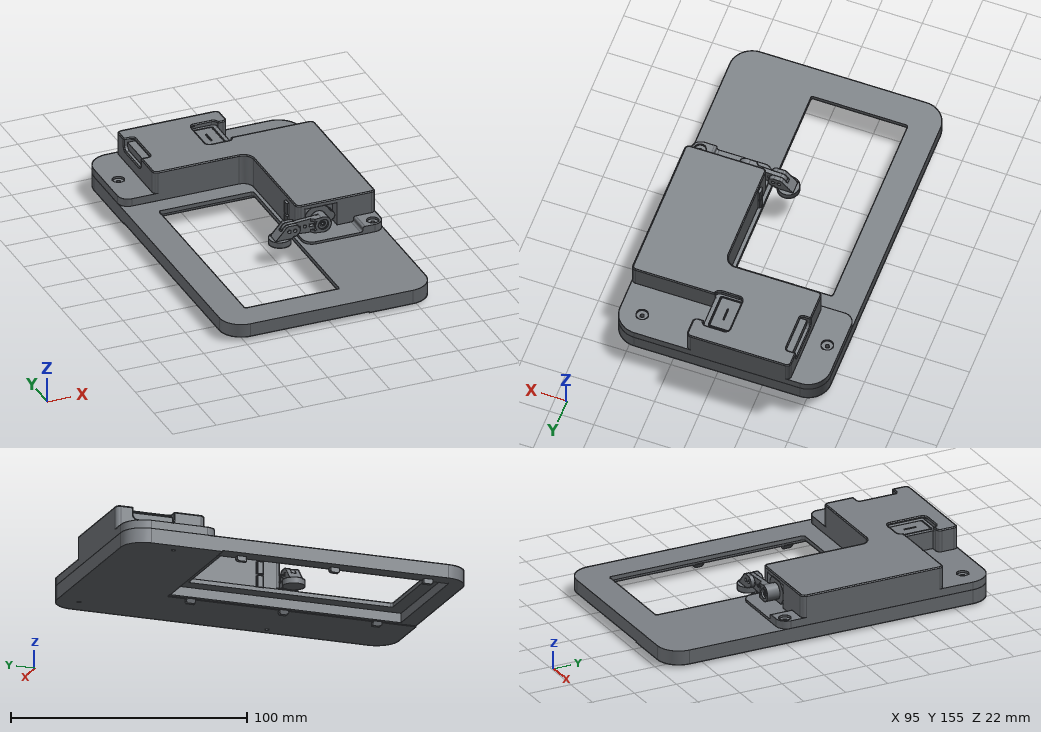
import cadquery as cq

LENGTH = 155.0
WIDTH = 95.0
PLATE_HEIGHT = 6.5
FLANGE_TOP = 10.0
SILL_TOP = 7.6
HOUSING_TOP = 20.3
HOOK_DROP = 1.7

CORNER_RADIUS = 10.0
FLANGE_RADIUS = 4.6
WALL_RADIUS = 2.0
TOP_CHAMFER = 0.5
TOLERANCE = 0.2

WINDOW_X = (13.3, 56.9)
WINDOW_Y = (13.6, 106.3)
WINDOW_RADIUS = 1.0
POCKET_MARGIN = 6.2
SKIN = 1.9
RELIEF_DEPTH = 0.5
RELIEF_X = 64.8
HOOK_WIDTH = 4.0
HOOK_FOOT = 1.5
HOOK_REACH = 2.6
HOOK_OUTSET = 9.3
HOOK_CHAMFER = 0.6

HOUSING_LEFT = 14.7
HOUSING_FRONT = 63.7
INNER_X = 58.6
INNER_Y = 114.9
EAR_X = 61.5
EAR_Y = 145.2
NOTCH_X = 56.9
SHOULDER_Y = 131.1
FLANGE_FRONT = 53.6
PAD_X = 84.8
PAD_FILLET = 1.0

SCREW_PLACES = [(85.0, 145.1), (6.0, 132.7), (91.0, 57.5)]
SCREW_BORE = 1.7
SCREW_HEAD = 5.3
SCREW_HEAD_DEPTH = 1.0

OPENING_Y = (129.0, 147.4)
OPENING_RADIUS = 2.0
RECESS_FLOOR = 18.3
RECESS_X = (45.3, 57.2)
PANEL_RIGHT = 54.5
PANEL_Y = (130.4, 145.5)
PANEL_GAP = 0.5
PANEL_DEPTH = 1.0
PANEL_SLIT_PLACE = (49.9, 138.0)
PANEL_SLIT_WIDTH = 0.5
PANEL_SLIT_LENGTH = 5.6
GRIP_RIGHT = 19.4
GRIP_LEDGE_X = 16.6
GRIP_FLOOR = 15.0
GRIP_CORNER = 1.2
CHANNEL_TOP = 19.4

CLIP_Y = (71.8, 74.9)
CLIP_REACH = 1.2
CLIP_CHAMFER = 0.5
CLIP_HEIGHT = 5.3
CLIP_BOTTOMS = (PLATE_HEIGHT, 12.7)

AXIS_X = 68.8
AXIS_Z = 12.1
BAY_X = (62.5, 77.2)
BAY_TOP = 18.3
BAY_BACK = 85.2
SERVO_GAP = 0.6
SERVO_FACE = 68.5
BOSS_FACE = 64.6
BOSS_RADIUS = 6.4
GEAR_X = 74.2
GEAR_DIAMETER = 4.6
SHAFT_DIAMETER = 2.5
SHAFT_HOLE = 1.2
SHAFT_HOLE_DEPTH = 2.3

HUB_DIAMETER = 7.3
HUB_FRONT = 58.7
HUB_RECESS = 4.6
HUB_RECESS_DEPTH = 1.0
ARM_Y = (60.1, 62.2)
ARM_TIP_X = 53.0
ARM_TIP_RADIUS = 2.5
ARM_ROOT_HALF = 3.5
HORN_HOLE = 1.3
HORN_PITCH = 2.6
HORN_HOLES = 4
HORN_SLOT_X = (63.0, 65.4)
HORN_SLOT_HALF = 0.55
RIB_START = 63.5
RIB_CHANNEL_HALF = 2.0

FINGER_Y = (58.3, 64.2)
FINGER_END_X = 55.3
FINGER_END_RADIUS = 2.6
FINGER_TOP_X = 52.1
FINGER_TOP_FILLET = 1.5
FINGER_TOE_X = 46.7
FINGER_HEEL_X = 54.1
FINGER_HOLE = 1.5
FINGER_HOLES = 2
PAD_DISC_X = 49.8
PAD_DISC_RADIUS = 4.8
PAD_DISC_TOP = 8.7
PAD_DISC_BOTTOM = 6.0


def block(x, y, z):
    """Box between pairs of X, Y and Z limits."""
    return (
        cq.Workplane("XY")
        .box(x[1] - x[0], y[1] - y[0], z[1] - z[0], centered=False)
        .translate((x[0], y[0], z[0]))
    )


def rod(x, z, diameter, y):
    """Cylinder along Y between two Y limits."""
    return (
        cq.Workplane("XZ", origin=(x, y[1], z))
        .circle(diameter / 2)
        .extrude(y[1] - y[0])
    )


def side_profile(corners, y):
    """Polygon in X and Z, extruded between two Y limits."""
    return cq.Workplane("XZ", origin=(0, y[1], 0)).polyline(corners).close().extrude(y[1] - y[0])


def rounded_at(body, radius, *places):
    """Round the upright edges that stand at the given X, Y places."""
    for x, y in places:
        low = (x - TOLERANCE, y - TOLERANCE, -LENGTH)
        high = (x + TOLERANCE, y + TOLERANCE, LENGTH)
        corner = cq.selectors.BoxSelector(low, high, True)
        body = body.edges("|Z").edges(corner).fillet(radius)
    return body


def drill(body, diameter, z):
    """Bore every mounting screw place between two Z limits."""
    bores = (
        cq.Workplane("XY", origin=(0, 0, z[0]))
        .pushPoints(SCREW_PLACES)
        .circle(diameter / 2)
        .extrude(z[1] - z[0])
    )
    return body.cut(bores)


def make_hook(x_outer, inward, y, chamfered_sides):
    """Hook below the plate; its inner side slopes up to the step of the underside."""
    points = [
        (x_outer, RELIEF_DEPTH),
        (x_outer, -HOOK_DROP),
        (x_outer + inward * HOOK_FOOT, -HOOK_DROP),
        (x_outer + inward * HOOK_REACH, 0),
        (x_outer + inward * HOOK_REACH, RELIEF_DEPTH),
    ]
    hook = side_profile(points, (y - HOOK_WIDTH / 2, y + HOOK_WIDTH / 2))
    for side in chamfered_sides:
        hook = hook.faces("<Z").edges(side).chamfer(HOOK_CHAMFER)
    return hook


def make_plate():
    plate = block((0, WIDTH), (0, LENGTH), (0, PLATE_HEIGHT)).edges("|Z").fillet(CORNER_RADIUS)
    window = block(WINDOW_X, WINDOW_Y, (0, PLATE_HEIGHT)).edges("|Z").fillet(WINDOW_RADIUS)
    pocket_x = (WINDOW_X[0] - POCKET_MARGIN, WINDOW_X[1] + POCKET_MARGIN)
    pocket_y = (WINDOW_Y[0] - POCKET_MARGIN, WINDOW_Y[1] + POCKET_MARGIN)
    pocket = block(pocket_x, pocket_y, (0, PLATE_HEIGHT - SKIN))
    relief = block((0, RELIEF_X), (0, pocket_y[1]), (0, RELIEF_DEPTH))
    plate = plate.cut(window).cut(pocket).cut(relief)

    middle_y = sum(WINDOW_Y) / 2
    hook_spread = (WINDOW_Y[1] - WINDOW_Y[0]) / 2 - HOOK_WIDTH
    hook_rows = [
        (middle_y - hook_spread, ("<Y",)),
        (middle_y, ("<Y", ">Y")),
        (middle_y + hook_spread, (">Y",)),
    ]
    for y, chamfered_sides in hook_rows:
        plate = plate.union(make_hook(WINDOW_X[0] - HOOK_OUTSET, 1, y, chamfered_sides))
        plate = plate.union(make_hook(WINDOW_X[1] + HOOK_OUTSET, -1, y, chamfered_sides))
    return drill(plate, SCREW_BORE, (0, PLATE_HEIGHT))


def make_flange():
    """Thick flange at the back, and the thin sill with its screw pad at the front."""
    back = block((0, WIDTH), (INNER_Y, LENGTH), (PLATE_HEIGHT, FLANGE_TOP))
    back = rounded_at(back, CORNER_RADIUS, (0, LENGTH), (WIDTH, LENGTH))
    back = rounded_at(back, FLANGE_RADIUS, (0, INNER_Y))

    step = [
        (INNER_X, PLATE_HEIGHT),
        (WIDTH, PLATE_HEIGHT),
        (WIDTH, FLANGE_TOP),
        (PAD_X, FLANGE_TOP),
        (PAD_X, SILL_TOP),
        (INNER_X, SILL_TOP),
    ]
    front = side_profile(step, (FLANGE_FRONT, HOUSING_FRONT + WALL_RADIUS))
    front = rounded_at(front, FLANGE_RADIUS, (INNER_X, FLANGE_FRONT), (WIDTH, FLANGE_FRONT))
    low = (PAD_X - TOLERANCE, 0, SILL_TOP - TOLERANCE)
    high = (PAD_X + TOLERANCE, LENGTH, FLANGE_TOP + TOLERANCE)
    front = front.edges("|Y").edges(cq.selectors.BoxSelector(low, high)).fillet(PAD_FILLET)
    return back, front


def make_shell():
    """L-shaped housing block with rounded corners and a chamfered top edge."""
    outer = [
        (HOUSING_LEFT, LENGTH),
        (EAR_X, LENGTH),
        (EAR_X, EAR_Y),
        (NOTCH_X, EAR_Y),
        (NOTCH_X, SHOULDER_Y),
        (WIDTH, SHOULDER_Y),
        (WIDTH, HOUSING_FRONT),
        (INNER_X, HOUSING_FRONT),
        (INNER_X, INNER_Y),
        (HOUSING_LEFT, INNER_Y),
    ]
    shell = (
        cq.Workplane("XY", origin=(0, 0, PLATE_HEIGHT))
        .polyline(outer)
        .close()
        .extrude(HOUSING_TOP - PLATE_HEIGHT)
    )
    inside_corners = [(NOTCH_X, EAR_Y), (NOTCH_X, SHOULDER_Y), (INNER_X, INNER_Y)]
    outside_corners = [corner for corner in outer if corner not in inside_corners]
    shell = rounded_at(shell, WALL_RADIUS, *outside_corners)
    shell = rounded_at(shell, FLANGE_RADIUS, (INNER_X, INNER_Y))
    return shell.faces(">Z").edges().chamfer(TOP_CHAMFER)


def flared_rim(opening, *mouth_sides):
    """Opening widened at its mouths, so that it cuts chamfered rims."""
    flared = opening
    for side in mouth_sides:
        face = opening.faces(side)
        flare = face.workplane().add(face.wires().vals()).toPending()
        flare = flare.extrude(TOP_CHAMFER, taper=-45, combine=False)
        inward = face.val().normalAt() * -TOP_CHAMFER
        flared = flared.union(flare.translate(inward))
    return flared


def cut_top_openings(shell):
    """Panel recess and grip notch with chamfered rims, and the channel that joins them."""
    recess = block(RECESS_X, OPENING_Y, (RECESS_FLOOR, HOUSING_TOP)).edges("|Z").fillet(OPENING_RADIUS)

    grip = block((HOUSING_LEFT, GRIP_RIGHT), OPENING_Y, (GRIP_FLOOR, HOUSING_TOP))
    grip = grip.edges("|X and <Z").fillet(OPENING_RADIUS)
    grip = grip.edges("|Z and >X").fillet(GRIP_CORNER)
    ledge = block((GRIP_LEDGE_X, GRIP_RIGHT), OPENING_Y, (GRIP_FLOOR, RECESS_FLOOR))

    channel = block((GRIP_LEDGE_X, RECESS_X[0] + OPENING_RADIUS), OPENING_Y, (RECESS_FLOOR, CHANNEL_TOP))
    panel_bed = make_panel_shape(PANEL_GAP)
    shell = shell.cut(flared_rim(recess, ">Z")).cut(flared_rim(grip, ">Z", "<X").cut(ledge))
    return shell.cut(channel).cut(panel_bed)


def make_clips():
    """Two blocks, one above the other, with chamfered upright edges."""
    clips = []
    for bottom in CLIP_BOTTOMS:
        clip = block((INNER_X - CLIP_REACH, INNER_X), CLIP_Y, (bottom, bottom + CLIP_HEIGHT))
        clips.append(clip.edges("|Z and <X").chamfer(CLIP_CHAMFER))
    return clips


def make_housing():
    housing = cut_top_openings(make_shell())
    for part in (*make_flange(), *make_clips()):
        housing = housing.union(part)
    housing = housing.cut(block(BAY_X, (HOUSING_FRONT, BAY_BACK), (SILL_TOP, BAY_TOP)))
    housing = drill(housing, SCREW_BORE, (PLATE_HEIGHT, FLANGE_TOP))
    return drill(housing, SCREW_HEAD, (FLANGE_TOP - SCREW_HEAD_DEPTH, FLANGE_TOP))


def make_panel_shape(growth):
    """Panel block, flush with the recess floor and grown sideways by a gap."""
    x = (RECESS_X[0], PANEL_RIGHT + growth)
    y = (PANEL_Y[0] - growth, PANEL_Y[1] + growth)
    z = (RECESS_FLOOR - PANEL_DEPTH, RECESS_FLOOR)
    return block(x, y, z).edges("|Z and >X").fillet(OPENING_RADIUS / 2)


def make_panel():
    panel = make_panel_shape(0)
    slit = cq.Workplane("XY", origin=(*PANEL_SLIT_PLACE, RECESS_FLOOR))
    slit = slit.rect(PANEL_SLIT_WIDTH, PANEL_SLIT_LENGTH).extrude(-PANEL_DEPTH / 2)
    return panel.cut(slit)


def make_servo():
    x = (BAY_X[0] + SERVO_GAP, BAY_X[1])
    z = (SILL_TOP, BAY_TOP - SERVO_GAP)
    case = block(x, (SERVO_FACE, BAY_BACK), z)
    boss = rod(AXIS_X, AXIS_Z, 2 * BOSS_RADIUS, (BOSS_FACE, SERVO_FACE))
    boss = boss.union(rod(GEAR_X, AXIS_Z, GEAR_DIAMETER, (BOSS_FACE, SERVO_FACE)))
    boss = boss.intersect(block(x, (BOSS_FACE, SERVO_FACE), z))
    shaft_front = HUB_FRONT + HUB_RECESS_DEPTH
    shaft = rod(AXIS_X, AXIS_Z, SHAFT_DIAMETER, (shaft_front, SERVO_FACE))
    hole = rod(AXIS_X, AXIS_Z, SHAFT_HOLE, (shaft_front, shaft_front + SHAFT_HOLE_DEPTH))
    return case.union(boss).union(shaft).cut(hole)


def make_arm_blank(y):
    """Arm outline with a round tip, widening towards the hub, between two Y limits."""
    return (
        cq.Workplane("XZ", origin=(0, y[1], 0))
        .moveTo(AXIS_X, AXIS_Z + ARM_ROOT_HALF)
        .lineTo(ARM_TIP_X, AXIS_Z + ARM_TIP_RADIUS)
        .threePointArc((ARM_TIP_X - ARM_TIP_RADIUS, AXIS_Z), (ARM_TIP_X, AXIS_Z - ARM_TIP_RADIUS))
        .lineTo(AXIS_X, AXIS_Z - ARM_ROOT_HALF)
        .close()
        .extrude(y[1] - y[0])
    )


def make_ribs():
    """Pair of ribs that thicken the arm next to the hub, with sloped ends."""
    rise = ARM_Y[0] - HUB_FRONT
    outline = [
        (RIB_START, ARM_Y[0]),
        (RIB_START + rise, HUB_FRONT),
        (AXIS_X, HUB_FRONT),
        (AXIS_X, ARM_Y[0]),
    ]
    wedge = cq.Workplane("XY").polyline(outline).close().extrude(HOUSING_TOP)
    ribs = wedge.intersect(make_arm_blank((HUB_FRONT, ARM_Y[0])))
    channel_z = (AXIS_Z - RIB_CHANNEL_HALF, AXIS_Z + RIB_CHANNEL_HALF)
    return ribs.cut(block((RIB_START, AXIS_X), (HUB_FRONT, ARM_Y[0]), channel_z))


def make_horn():
    horn = make_arm_blank(ARM_Y).union(make_ribs())
    horn = horn.union(rod(AXIS_X, AXIS_Z, HUB_DIAMETER, (HUB_FRONT, BOSS_FACE)))
    horn = horn.cut(rod(AXIS_X, AXIS_Z, SHAFT_DIAMETER, (HUB_FRONT, BOSS_FACE)))
    horn = horn.cut(rod(AXIS_X, AXIS_Z, HUB_RECESS, (HUB_FRONT, HUB_FRONT + HUB_RECESS_DEPTH)))
    for i in range(HORN_HOLES):
        horn = horn.cut(rod(ARM_TIP_X + i * HORN_PITCH, AXIS_Z, HORN_HOLE, ARM_Y))
    slot = block(HORN_SLOT_X, ARM_Y, (AXIS_Z - HORN_SLOT_HALF, AXIS_Z + HORN_SLOT_HALF))
    return horn.cut(slot)


def make_finger():
    top = AXIS_Z + FINGER_END_RADIUS
    bottom = AXIS_Z - FINGER_END_RADIUS
    finger = (
        cq.Workplane("XZ", origin=(0, FINGER_Y[1], 0))
        .moveTo(FINGER_TOE_X, PAD_DISC_TOP)
        .lineTo(FINGER_TOP_X, top)
        .lineTo(FINGER_END_X, top)
        .threePointArc((FINGER_END_X + FINGER_END_RADIUS, AXIS_Z), (FINGER_END_X, bottom))
        .lineTo(FINGER_HEEL_X, PAD_DISC_TOP)
        .close()
        .extrude(FINGER_Y[1] - FINGER_Y[0])
    )
    finger = finger.faces(">Z").edges("<X").fillet(FINGER_TOP_FILLET)
    disc = (
        cq.Workplane("XY", origin=(PAD_DISC_X, sum(FINGER_Y) / 2, PAD_DISC_BOTTOM))
        .circle(PAD_DISC_RADIUS)
        .extrude(PAD_DISC_TOP - PAD_DISC_BOTTOM)
    )
    slot_above = block((FINGER_TOE_X, AXIS_X), ARM_Y, (AXIS_Z, HOUSING_TOP))
    finger = finger.union(disc).cut(make_arm_blank(ARM_Y)).cut(slot_above)
    for i in range(FINGER_HOLES):
        finger = finger.cut(rod(ARM_TIP_X + i * HORN_PITCH, AXIS_Z, FINGER_HOLE, FINGER_Y))
    return finger


plate = make_plate()
housing = make_housing()
panel = make_panel()
servo = make_servo()
horn = make_horn()
finger = make_finger()

result = cq.Compound.makeCompound(
    [plate.val(), housing.val(), panel.val(), servo.val(), horn.val(), finger.val()]
)